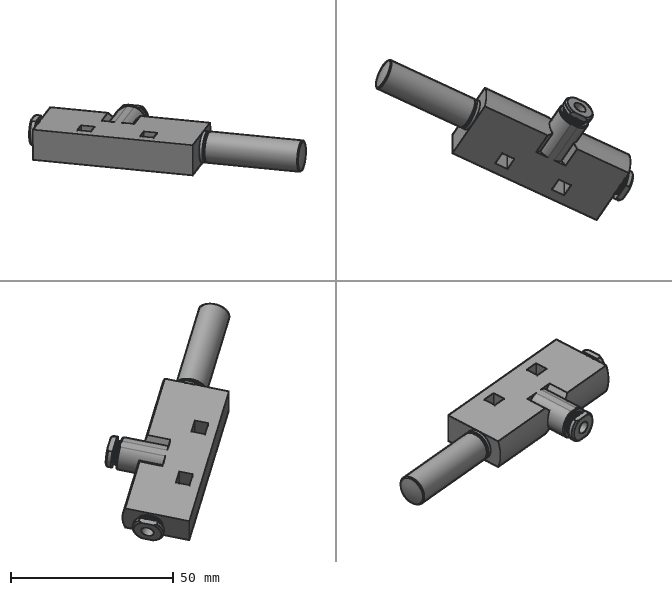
import cadquery as cq
import math

total_length = 86.8
height = 10.0

block_left = 3.5
block_right = 54.5
front_y = -12.4
back_y = 8.85
back_bulge = 0.95

hole_side = 4.3
hole_spacing = 20.05
hole_center_y = -7.0
block_center = (block_left + block_right) / 2

branch_x = 27.1
branch_diameter = 10.2
branch_root_y = 0.7
branch_tip_y = 15.45
branch_chamfer_length = 0.4
branch_chamfer_depth = 0.3
relief_half_width = 5.2
relief_floor_half_width = 2.6

ring_length = 3.5
ring_head_length = 1.8
ring_head_diameter = 9.8
ring_flat_distance = 8.0
ring_chamfer = 0.5
ring_neck_diameter = 6.1
ring_neck_flare = 0.35
ring_collar_diameter = 7.55
ring_collar_start = 0.9
ring_seat_diameter = 8.0
ring_seat_start = 0.35
bore_diameter = 4.0
bore_depth = 8.7

tube_diameter = 9.8
groove_diameter = 8.0
groove_start = 1.0
groove_width = 0.4
tube_chamfer = 0.35
tube_dome_height = 0.7


def make_block():
    """Block with a gently bulged back face."""
    mid_height = height / 2
    corner_y = back_y - back_bulge
    return (
        cq.Workplane("YZ", origin=(block_left, 0, 0))
        .moveTo(front_y, -mid_height)
        .lineTo(corner_y, -mid_height)
        .threePointArc((back_y, 0), (corner_y, mid_height))
        .lineTo(front_y, mid_height)
        .close()
        .extrude(block_right - block_left)
    )


def make_release_ring():
    """Flanged ring standing on Z = 0 and pointing up, with two flats facing Y."""
    head_radius = ring_head_diameter / 2
    neck_radius = ring_neck_diameter / 2
    collar_radius = ring_collar_diameter / 2
    seat_radius = ring_seat_diameter / 2
    head_base = ring_length - ring_head_length
    ring = (
        cq.Workplane("XZ")
        .moveTo(0, 0)
        .lineTo(seat_radius, 0)
        .lineTo(seat_radius, ring_seat_start)
        .lineTo(collar_radius, ring_seat_start)
        .lineTo(collar_radius, ring_collar_start)
        .lineTo(neck_radius, ring_collar_start)
        .lineTo(neck_radius, head_base - ring_neck_flare)
        .lineTo(neck_radius + ring_neck_flare, head_base)
        .lineTo(head_radius, head_base)
        .lineTo(head_radius, ring_length - ring_chamfer)
        .lineTo(head_radius - ring_chamfer, ring_length)
        .lineTo(0, ring_length)
        .close()
        .revolve(360, (0, 0, 0), (0, 1, 0))
    )
    flats = cq.Workplane("XY").box(
        ring_head_diameter, ring_flat_distance, ring_length, centered=(True, True, False)
    )
    return ring.intersect(flats)


def make_bore():
    """Blind tube socket reaching down from the ring's outer face."""
    return (
        cq.Workplane("XY", origin=(0, 0, ring_length - bore_depth))
        .circle(bore_diameter / 2)
        .extrude(bore_depth)
    )


def place_left(shape):
    """Turn an upright fitting to point along -X from the block."""
    return (
        shape.rotate((0, 0, 0), (0, 0, 1), 90)
        .rotate((0, 0, 0), (0, 1, 0), -90)
        .translate((block_left, 0, 0))
    )


def place_branch(shape):
    """Turn an upright fitting to point along +Y from the branch tip."""
    return shape.rotate((0, 0, 0), (1, 0, 0), -90).translate((branch_x, branch_tip_y, 0))


def make_branch():
    """Round branch with a chamfered tip, flattened to the block height."""
    length = branch_tip_y - branch_root_y
    cylinder = (
        cq.Workplane("XZ", origin=(branch_x, branch_tip_y, 0))
        .circle(branch_diameter / 2)
        .extrude(length)
        .faces(">Y")
        .chamfer(branch_chamfer_length, branch_chamfer_depth)
    )
    slab = cq.Workplane("XY").box(branch_diameter, length, height)
    return cylinder.intersect(slab.translate((branch_x, branch_tip_y - length / 2, 0)))


def make_relief(side):
    """Tapered slot above (side = 1) or below (side = -1) the branch, with 45 degree walls."""
    top = height / 2
    floor = top - (relief_half_width - relief_floor_half_width)
    return (
        cq.Workplane("XZ", origin=(branch_x, back_y, 0))
        .polyline([
            (-relief_half_width, side * top),
            (-relief_floor_half_width, side * floor),
            (relief_floor_half_width, side * floor),
            (relief_half_width, side * top),
        ])
        .close()
        .extrude(back_y - branch_root_y)
    )


def make_mounting_holes():
    """Two square holes through the block height."""
    return (
        cq.Workplane("XY")
        .pushPoints([(block_center + side * hole_spacing / 2, hole_center_y) for side in (-1, 1)])
        .rect(hole_side, hole_side)
        .extrude(height, both=True)
    )


def make_tube():
    """Silencer tube with a groove near the block and a domed end."""
    radius = tube_diameter / 2
    groove_radius = groove_diameter / 2
    rim_radius = radius - tube_chamfer
    groove_left = block_right + groove_start
    groove_right = groove_left + groove_width
    rim_x = total_length - tube_dome_height
    dome_radius = (rim_radius**2 + tube_dome_height**2) / (2 * tube_dome_height)
    mid_radius = rim_radius / 2
    mid_x = total_length - dome_radius + math.sqrt(dome_radius**2 - mid_radius**2)
    return (
        cq.Workplane("XY")
        .moveTo(block_right, 0)
        .lineTo(block_right, radius)
        .lineTo(groove_left, radius)
        .lineTo(groove_left, groove_radius)
        .lineTo(groove_right, groove_radius)
        .lineTo(groove_right, rim_radius)
        .lineTo(groove_right + tube_chamfer, radius)
        .lineTo(rim_x - tube_chamfer, radius)
        .lineTo(rim_x, rim_radius)
        .threePointArc((mid_x, mid_radius), (total_length, 0))
        .close()
        .revolve(360, (0, 0, 0), (1, 0, 0))
    )


body = make_block().cut(make_mounting_holes())
for side in (-1, 1):
    body = body.cut(make_relief(side))
body = body.union(make_branch()).union(make_tube())

for place in (place_left, place_branch):
    body = body.union(place(make_release_ring())).cut(place(make_bore()))

result = body